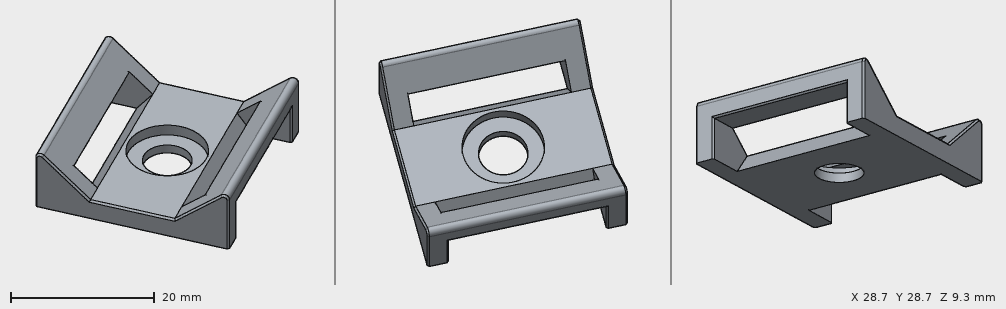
import cadquery as cq
import math

length = 28.7
width = 28.7
height = 9.3

floor_width = 12.45
floor_height = 3.13
rim_radius = 0.75
edge_chamfer = 0.3

window_width = 22.55
window_height = 6.15
window_chamfer = 0.25
slab_bottom_width = 17.28
cutter_overrun = 1.44

hole_diameter = 6.9
counterbore_diameter = 11.48
counterbore_depth = 1.72

half_length = length / 2
half_floor = floor_width / 2
rim_x = half_length - rim_radius
rim_z = height - rim_radius

run = rim_x - half_floor
rise = rim_z - floor_height
slope_angle = math.atan2(rise, run) + math.asin(rim_radius / math.hypot(run, rise))
tangent_x = rim_x - rim_radius * math.sin(slope_angle)
tangent_z = rim_z + rim_radius * math.cos(slope_angle)


def saddle_body():
    """Extruded saddle with chamfered ends and corners."""
    body = (
        cq.Workplane("XZ")
        .moveTo(-half_length, 0)
        .lineTo(half_length, 0)
        .lineTo(half_length, rim_z)
        .threePointArc((rim_x, height), (tangent_x, tangent_z))
        .lineTo(half_floor, floor_height)
        .lineTo(-half_floor, floor_height)
        .lineTo(-tangent_x, tangent_z)
        .threePointArc((-rim_x, height), (-half_length, rim_z))
        .close()
        .extrude(width / 2, both=True)
    )
    end_edges = body.faces("<Y or >Y").edges("not <Z")
    return end_edges.chamfer(edge_chamfer)


def strap_window(side):
    """Cutter for one window, with its outer mouth chamfered; side is -1 or 1."""
    window = (
        cq.Workplane("XZ")
        .polyline([
            (side * half_length, 0),
            (side * slab_bottom_width / 2, 0),
            (side * half_floor, floor_height),
            (side * half_floor, window_height),
            (side * half_length, window_height),
        ])
        .close()
        .extrude(window_width / 2, both=True)
    )
    mouth_width = window_width + 2 * window_chamfer
    mouth_height = window_height + window_chamfer
    mouth = (
        cq.Workplane("YZ", origin=(side * half_length, 0, 0))
        .center(0, (mouth_height - cutter_overrun) / 2)
        .rect(mouth_width, mouth_height + cutter_overrun)
        .extrude(-side * window_chamfer, taper=45)
    )
    return window.union(mouth)


result = saddle_body()
for side in (-1, 1):
    result = result.cut(strap_window(side))

screw_hole = cq.Workplane("XY").circle(hole_diameter / 2).extrude(floor_height)
counterbore = (
    cq.Workplane("XY", origin=(0, 0, floor_height))
    .circle(counterbore_diameter / 2)
    .extrude(-counterbore_depth)
)
result = result.cut(screw_hole).cut(counterbore)